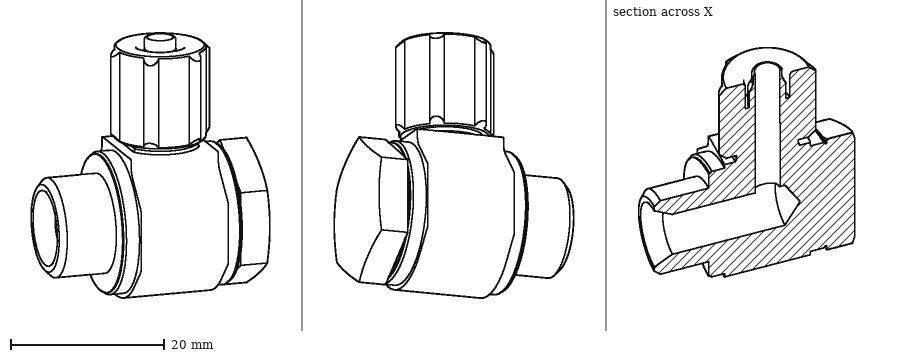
import cadquery as cq
import math


body_radius = 10.0
block_half = 6.0
block_edge_round = 0.3
shoulder_fillet = 2.0
side_edge_fillet = 0.6

collar_radius = 18.8 / 2
collar_rim_radius = 18.2 / 2
collar_edge_y = 7.8
collar_end_y = 8.25

spigot_radius = 13.15 / 2
spigot_end_y = -15.85
spigot_chamfer = 0.83
head_end_y = 12.25
head_across_flats = 17.05
head_face_radius = 8.6
head_chamfer_angle = 15.0

bore_radius = 7.0 / 2
bore_mouth_radius = 4.97
bore_mouth_angle = 30.0
bore_end_y = 2.4
drill_half_angle = 59.0

neck_radius = 5.0
neck_flat_half = 4.3
neck_flare_width = 0.2
neck_flare_height = 0.4

nut_bottom_z = 10.97
nut_top_z = 23.45
nut_radius = 6.0
nut_face_radius = 5.78
rib_count = 6
rib_radius = 1.0
rib_center_radius = 5.75

nut_hole_radius = 6.2 / 2
nut_hole_mouth_radius = 3.7
tip_top_z = 24.5
tip_radius = 4.1 / 2
tip_bore_radius = 3.4 / 2
tip_edge_fillet = 0.3
tip_flare_radius = 5.2 / 2
tip_flare_top_z = 22.95
tip_flare_bottom_z = 21.55
hose_gap_bottom_z = 18.98


def revolve_about_y(points):
    """Solid of revolution about Y from (radius, y) points."""
    return cq.Workplane("XY").polyline(points).close().revolve(360, (0, 0, 0), (0, 1, 0))


def revolve_about_z(points):
    """Solid of revolution about Z from (radius, z) points."""
    return cq.Workplane("XZ").polyline(points).close().revolve(360, (0, 0, 0), (0, 1, 0))


def make_body():
    """Half octagon above, round below, with a square block carrying the branch."""
    diagonal = body_radius * math.sqrt(0.5)
    corner = body_radius * math.tan(math.pi / 8)
    shoulder_z = body_radius * math.sqrt(2) - block_half
    body = (
        cq.Workplane("XZ")
        .moveTo(diagonal, -diagonal)
        .lineTo(body_radius, -corner)
        .lineTo(body_radius, corner)
        .lineTo(block_half, shoulder_z)
        .lineTo(block_half, body_radius)
        .lineTo(-block_half, body_radius)
        .lineTo(-block_half, shoulder_z)
        .lineTo(-body_radius, corner)
        .lineTo(-body_radius, -corner)
        .lineTo(-diagonal, -diagonal)
        .threePointArc((0, -body_radius), (diagonal, -diagonal))
        .close()
        .extrude(block_half, both=True)
    )

    def round_edges(solid, x, z, radius):
        for side in (-1, 1):
            solid = solid.edges(cq.selectors.NearestToPointSelector((side * x, 0, z))).fillet(radius)
        return solid

    body = round_edges(body, block_half, shoulder_z, shoulder_fillet)
    body = round_edges(body, block_half, body_radius, block_edge_round)
    body = round_edges(body, body_radius, corner, side_edge_fillet)
    return round_edges(body, body_radius, -corner, side_edge_fillet)


def make_collars():
    """Both collars, each stepping in through a chamfer to a thin rim."""
    rim_start_y = collar_edge_y + collar_radius - collar_rim_radius
    return revolve_about_y([
        (0, -collar_end_y),
        (collar_rim_radius, -collar_end_y),
        (collar_rim_radius, -rim_start_y),
        (collar_radius, -collar_edge_y),
        (collar_radius, collar_edge_y),
        (collar_rim_radius, rim_start_y),
        (collar_rim_radius, collar_end_y),
        (0, collar_end_y),
    ])


def make_spigot():
    return revolve_about_y([
        (0, 0),
        (spigot_radius, 0),
        (spigot_radius, spigot_end_y + spigot_chamfer),
        (spigot_radius - spigot_chamfer, spigot_end_y),
        (0, spigot_end_y),
    ])


def make_head():
    """Hexagon head with two corners on the Z axis and a coned outer face."""
    across_corners = head_across_flats / math.cos(math.pi / 6)
    hexagon = (
        cq.Workplane("XZ", origin=(0, collar_end_y, 0))
        .transformed(rotate=(0, 0, 90))
        .polygon(6, across_corners)
        .extrude(collar_end_y - head_end_y)
    )
    cone_radius = across_corners / 2 + 0.35
    cone_drop = (cone_radius - head_face_radius) * math.tan(math.radians(head_chamfer_angle))
    envelope = revolve_about_y([
        (0, collar_end_y),
        (cone_radius, collar_end_y),
        (cone_radius, head_end_y - cone_drop),
        (head_face_radius, head_end_y),
        (0, head_end_y),
    ])
    return hexagon.intersect(envelope)


def make_spigot_bore():
    """Coned mouth, straight bore and drill point."""
    mouth_depth = (bore_mouth_radius - bore_radius) / math.tan(math.radians(bore_mouth_angle))
    point_depth = bore_radius / math.tan(math.radians(drill_half_angle))
    return revolve_about_y([
        (0, spigot_end_y),
        (bore_mouth_radius, spigot_end_y),
        (bore_radius, spigot_end_y + mouth_depth),
        (bore_radius, bore_end_y),
        (0, bore_end_y + point_depth),
    ])


def make_neck():
    """Round neck with two flats, flared where it meets the block."""
    def section(z, height, growth, taper=0):
        flats = (
            cq.Workplane("XY", origin=(0, 0, z))
            .rect(4 * neck_radius, 2 * (neck_flat_half + growth))
            .extrude(height, taper=taper)
        )
        round_part = (
            cq.Workplane("XY", origin=(0, 0, z))
            .circle(neck_radius + growth)
            .extrude(height, taper=taper)
        )
        return round_part.intersect(flats)

    flare_taper = math.degrees(math.atan(neck_flare_width / neck_flare_height))
    shaft = section(body_radius, nut_bottom_z - body_radius, 0)
    return shaft.union(section(body_radius, neck_flare_height, neck_flare_width, flare_taper))


def make_nut():
    """Ribbed nut, with both ends coned at 45 degrees across body and ribs."""
    height = nut_top_z - nut_bottom_z
    base = cq.Workplane("XY", origin=(0, 0, nut_bottom_z))
    ribs = (
        base.polarArray(rib_center_radius, 90, 360, rib_count)
        .circle(rib_radius)
        .extrude(height)
    )
    nut = base.circle(nut_radius).extrude(height).union(ribs)
    outer_radius = rib_center_radius + rib_radius
    cone_height = outer_radius - nut_face_radius
    envelope = revolve_about_z([
        (0, nut_bottom_z),
        (nut_face_radius, nut_bottom_z),
        (outer_radius, nut_bottom_z + cone_height),
        (outer_radius, nut_top_z - cone_height),
        (nut_face_radius, nut_top_z),
        (0, nut_top_z),
    ])
    return nut.intersect(envelope)


def make_nut_hole():
    """Hose clearance with a rounded mouth."""
    mouth_round = nut_hole_mouth_radius - nut_hole_radius
    return (
        cq.Workplane("XZ")
        .moveTo(0, hose_gap_bottom_z)
        .lineTo(nut_hole_radius, hose_gap_bottom_z)
        .lineTo(nut_hole_radius, nut_top_z - mouth_round)
        .radiusArc((nut_hole_mouth_radius, nut_top_z), mouth_round)
        .lineTo(0, nut_top_z)
        .close()
        .revolve(360, (0, 0, 0), (0, 1, 0))
    )


def make_tip():
    tip = revolve_about_z([
        (0, hose_gap_bottom_z),
        (tip_flare_radius, hose_gap_bottom_z),
        (tip_flare_radius, tip_flare_bottom_z),
        (tip_radius, tip_flare_top_z),
        (tip_radius, tip_top_z),
        (0, tip_top_z),
    ])
    return tip.faces(">Z").edges().fillet(tip_edge_fillet)


def make_tip_bore():
    """Branch passage, running down into the spigot bore."""
    return cq.Workplane("XY").circle(tip_bore_radius).extrude(tip_top_z)


result = (
    make_body()
    .union(make_collars())
    .union(make_spigot())
    .union(make_head())
    .union(make_neck())
    .union(make_nut())
    .cut(make_nut_hole())
    .union(make_tip())
    .cut(make_spigot_bore())
    .cut(make_tip_bore())
)